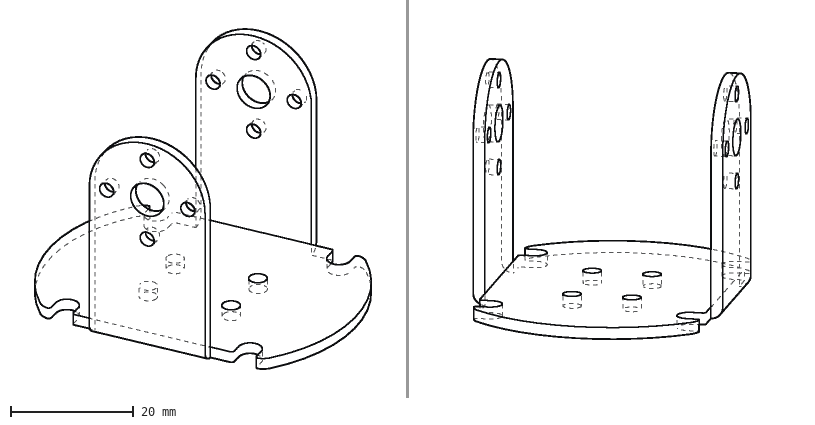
import cadquery as cq

base_diameter = 54.9
overall_depth = 41.7
overall_height = 38.45
sheet_thickness = 2.0

ear_width = 20.95
ear_radius = ear_width / 2
pivot_height = overall_height - ear_radius
pivot_hole_diameter = 6.0
ear_screw_diameter = 2.5
ear_screw_circle_radius = 7.35

base_depth = overall_depth - 2 * sheet_thickness
base_hole_diameter = 3.0
base_hole_spacing_x = 15.05
base_hole_spacing_y = 10.0
slot_width = 4.0
slot_center_x = 16.6
slot_arc_center_y = 16.65
slot_mouth_radius = 0.5
tip_radius = 3.0


def make_slot(x_side, y_side):
    """Round-ended notch opening through a straight edge of the base."""
    length = base_depth / 2 - slot_arc_center_y
    x = x_side * slot_center_x
    round_end = (
        cq.Workplane("XY")
        .center(x, y_side * slot_arc_center_y)
        .circle(slot_width / 2)
        .extrude(sheet_thickness)
    )
    channel = (
        cq.Workplane("XY")
        .center(x, y_side * (slot_arc_center_y + length / 2))
        .rect(slot_width, length)
        .extrude(sheet_thickness)
    )
    return round_end.union(channel)


def make_base():
    """Disc with two flat sides, rounded tips, four edge slots and four holes."""
    disc = cq.Workplane("XY").circle(base_diameter / 2).extrude(sheet_thickness)
    flats = cq.Workplane("XY").rect(base_diameter, base_depth).extrude(sheet_thickness)
    base = disc.intersect(flats)
    base = base.edges("|Z").edges("<Y or >Y").fillet(tip_radius)

    for x_side in (-1, 1):
        for y_side in (-1, 1):
            base = base.cut(make_slot(x_side, y_side))

    reach = slot_width / 2 + slot_mouth_radius
    for x_side in (-1, 1):
        for y_side in (-1, 1):
            x = x_side * slot_center_x
            inner_y = y_side * (base_depth / 2 - slot_mouth_radius)
            outer_y = y_side * (base_depth / 2 + slot_mouth_radius)
            mouth = cq.selectors.BoxSelector(
                (x - reach, inner_y, 0),
                (x + reach, outer_y, sheet_thickness),
            )
            base = base.edges("|Z").edges(mouth).fillet(slot_mouth_radius)

    holes = (
        cq.Workplane("XY")
        .rarray(base_hole_spacing_x, base_hole_spacing_y, 2, 2)
        .circle(base_hole_diameter / 2)
        .extrude(sheet_thickness)
    )
    return base.cut(holes)


def make_ear(inner_y):
    """Round-topped upright, one sheet thick, extending toward -Y from inner_y."""
    blank = (
        cq.Workplane("XZ", origin=(0, inner_y, 0))
        .moveTo(-ear_radius, 0)
        .lineTo(ear_radius, 0)
        .lineTo(ear_radius, pivot_height)
        .threePointArc((0, overall_height), (-ear_radius, pivot_height))
        .close()
        .extrude(sheet_thickness)
    )
    holes = (
        cq.Workplane("XZ", origin=(0, inner_y, pivot_height))
        .circle(pivot_hole_diameter / 2)
        .extrude(sheet_thickness)
    )
    screw_holes = (
        cq.Workplane("XZ", origin=(0, inner_y, pivot_height))
        .polarArray(ear_screw_circle_radius, 0, 360, 4)
        .circle(ear_screw_diameter / 2)
        .extrude(sheet_thickness)
    )
    return blank.cut(holes).cut(screw_holes)


def make_bend_envelope():
    """Block whose rounded lower edges give the outside of both bends."""
    return (
        cq.Workplane("XY")
        .box(base_diameter, overall_depth, overall_height, centered=(True, True, False))
        .edges("|X and <Z")
        .fillet(sheet_thickness)
    )


front_ear = make_ear(-base_depth / 2)
back_ear = front_ear.mirror("XZ")
ears = front_ear.union(back_ear).intersect(make_bend_envelope())
result = make_base().union(ears)